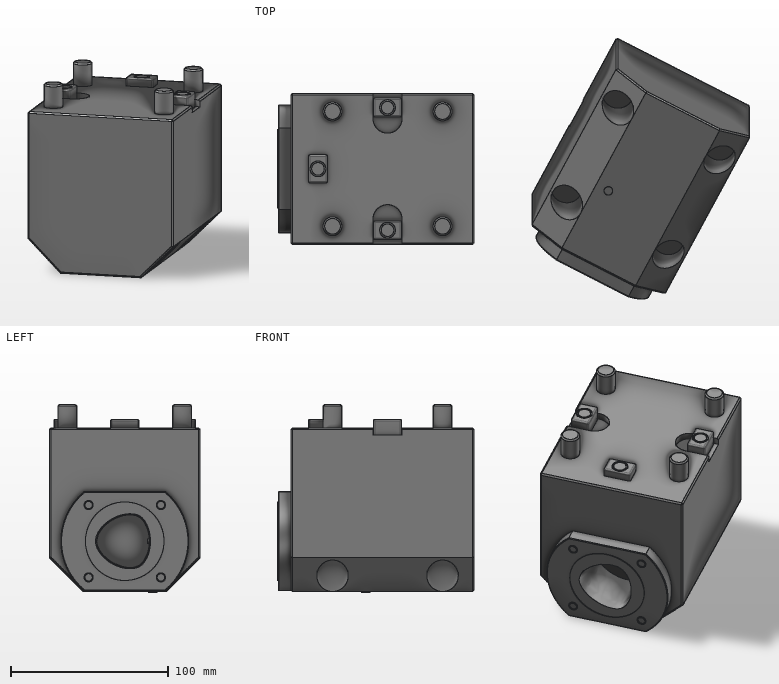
import cadquery as cq
import math

overall_length = 125.0
flange_length = 8.0
pilot_rise = 0.5
block_start = flange_length + pilot_rise
block_length = overall_length - block_start
block_width = 96.0
block_height = 104.0
bottom_bevel = 21.5
edge_chamfer = 1.0

flange_diameter = 81.5
flange_flat_height = 63.0
flange_edge_chamfer = 0.5
flange_axis_z = 32.0
pilot_diameter = 50.0
flange_screw_diameter = 5.8
flange_screw_spacing = 46.0
flange_screw_gap = 0.5

bore_mean_radius = 17.5
bore_lobe = 1.1
bore_depth = 30.0
bore_curve_points = 24
bore_taper_ratio = 20.0
bore_end_shrink = bore_depth / bore_taper_ratio / 2
bore_pin_diameter = 3.0
bore_pin_depth = 25.0
bore_pin_reach = 1.8

bolt_diameter = 12.0
bolt_rise = 15.0
bolt_tip_chamfer = 1.0
bolt_spacing_x = 70.0
bolt_spacing_y = 73.0
bolt_centre_x = 70.0
head_bore_diameter = 20.0
head_bore_depth = 50.0

key_length = 18.0
key_width = 12.0
key_rise = 5.5
key_fillet = 1.0
slot_width = 18.5
slot_depth = 4.5
slot_reach = 25.2
side_key_y = 39.0
end_key_x = 25.8
key_screw_hole_diameter = 10.0
key_screw_diameter = 8.0
key_screw_gap_depth = 1.0

plug_diameter = 5.5
plug_rise = 0.5
plug_x = 56.2
plug_y = -17.8

half_width = block_width / 2
cut_margin = 1.2


def make_block():
    bottom_half = half_width - bottom_bevel
    block = (
        cq.Workplane("YZ", origin=(block_start, 0, 0))
        .moveTo(-bottom_half, 0)
        .lineTo(bottom_half, 0)
        .lineTo(half_width, bottom_bevel)
        .lineTo(half_width, block_height)
        .lineTo(-half_width, block_height)
        .lineTo(-half_width, bottom_bevel)
        .close()
        .extrude(block_length)
    )
    return block.faces("<X or >X or >Z").edges().chamfer(edge_chamfer)


def make_flange():
    disc = (
        cq.Workplane("YZ", origin=(pilot_rise, 0, flange_axis_z))
        .circle(flange_diameter / 2)
        .extrude(flange_length)
    )
    flats = cq.Workplane("XY").box(4 * flange_length, flange_diameter, flange_flat_height)
    flange = disc.intersect(flats.translate((0, 0, flange_axis_z)))
    flange = flange.faces("<X").edges().chamfer(flange_edge_chamfer)
    pilot = (
        cq.Workplane("YZ", origin=(0, 0, flange_axis_z))
        .circle(pilot_diameter / 2)
        .extrude(block_start)
    )
    return flange.union(pilot)


def make_flange_screw_gaps():
    return (
        cq.Workplane("YZ", origin=(pilot_rise, 0, flange_axis_z))
        .rect(flange_screw_spacing, flange_screw_spacing, forConstruction=True)
        .vertices()
        .circle(flange_screw_diameter / 2)
        .circle(flange_screw_diameter / 2 - flange_screw_gap)
        .extrude(flange_screw_gap)
    )


def lobed_point(angle, shrink):
    """Point of the rounded-triangle curve, with one lobe toward +Y."""
    support = bore_mean_radius - shrink + bore_lobe * math.cos(3 * angle)
    slope = -3 * bore_lobe * math.sin(3 * angle)
    y = support * math.cos(angle) - slope * math.sin(angle)
    z = support * math.sin(angle) + slope * math.cos(angle)
    return y, z


def lobed_outline(shrink):
    """Points evenly spread around the closed curve."""
    step = 2 * math.pi / bore_curve_points
    return [lobed_point(step * i, shrink) for i in range(bore_curve_points)]


def make_bore():
    return (
        cq.Workplane("YZ", origin=(0, 0, flange_axis_z))
        .spline(lobed_outline(0), periodic=True)
        .close()
        .workplane(offset=bore_depth)
        .spline(lobed_outline(bore_end_shrink), periodic=True)
        .close()
        .loft(combine=True)
    )


def make_bore_pin():
    tip_y = -(bore_mean_radius - bore_lobe) + bore_pin_reach
    return (
        cq.Workplane("XZ", origin=(bore_pin_depth, tip_y, flange_axis_z))
        .circle(bore_pin_diameter / 2)
        .extrude(2 * bore_pin_reach)
    )


def bolt_positions(z):
    return (
        cq.Workplane("XY", origin=(bolt_centre_x, 0, z))
        .rect(bolt_spacing_x, bolt_spacing_y, forConstruction=True)
        .vertices()
    )


def make_bolt_tips():
    tips = bolt_positions(block_height).circle(bolt_diameter / 2).extrude(bolt_rise)
    return tips.faces(">Z").edges().chamfer(bolt_tip_chamfer)


def make_head_bores():
    return bolt_positions(0).circle(head_bore_diameter / 2).extrude(head_bore_depth)


def make_key(size_x, size_y, seat_z):
    top_z = block_height + key_rise
    key = (
        cq.Workplane("XY", origin=(0, 0, seat_z))
        .rect(size_x, size_y)
        .extrude(top_z - seat_z)
        .edges("|Z or >Z")
        .fillet(key_fillet)
    )
    screw_gap = (
        cq.Workplane("XY", origin=(0, 0, top_z))
        .circle(key_screw_hole_diameter / 2)
        .circle(key_screw_diameter / 2)
        .extrude(-key_screw_gap_depth)
    )
    return key.cut(screw_gap)


def make_key_slot(side):
    """Slot open at the block side, with a half-round inner end."""
    centre_y = side * (half_width - slot_reach + slot_width / 2)
    outer_y = side * (half_width + cut_margin)
    half_slot = slot_width / 2
    return (
        cq.Workplane("XY", origin=(bolt_centre_x, 0, block_height - slot_depth))
        .moveTo(-half_slot, outer_y)
        .lineTo(-half_slot, centre_y)
        .threePointArc((0, centre_y - side * half_slot), (half_slot, centre_y))
        .lineTo(half_slot, outer_y)
        .close()
        .extrude(slot_depth + cut_margin)
    )


result = make_block().cut(make_head_bores())
result = result.union(make_bolt_tips())
result = result.union(make_flange()).cut(make_flange_screw_gaps())
result = result.cut(make_bore()).union(make_bore_pin())

for side in (-1, 1):
    side_key = make_key(key_length, key_width, block_height - slot_depth)
    result = result.cut(make_key_slot(side))
    result = result.union(side_key.translate((bolt_centre_x, side * side_key_y, 0)))

end_key = make_key(key_width, key_length, block_height)
result = result.union(end_key.translate((end_key_x, 0, 0)))

plug = (
    cq.Workplane("XY", origin=(plug_x, plug_y, 0))
    .circle(plug_diameter / 2)
    .extrude(-plug_rise)
)
result = result.union(plug)